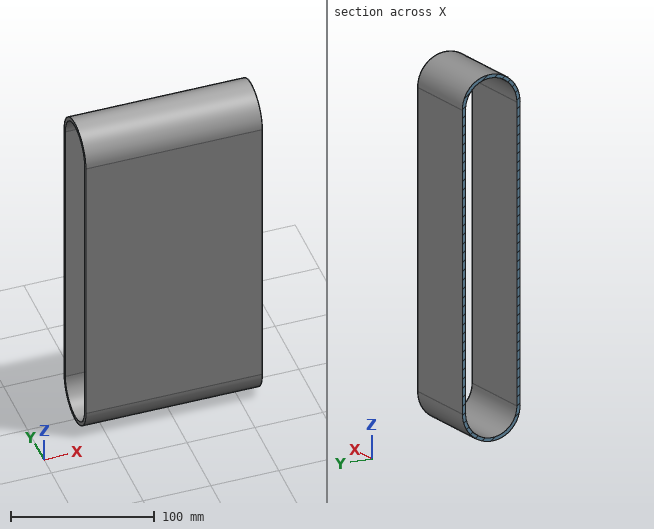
import cadquery as cq

length = 130.0
width = 46.0
height = 266.0
wall = 3.0


def obround_bar(inset):
    """Solid obround bar, centred on the origin, inset from the outer surface."""
    return (
        cq.Workplane("YZ")
        .slot2D(height - 2 * inset, width - 2 * inset, 90)
        .extrude(length / 2, both=True)
    )


result = obround_bar(0).cut(obround_bar(wall))